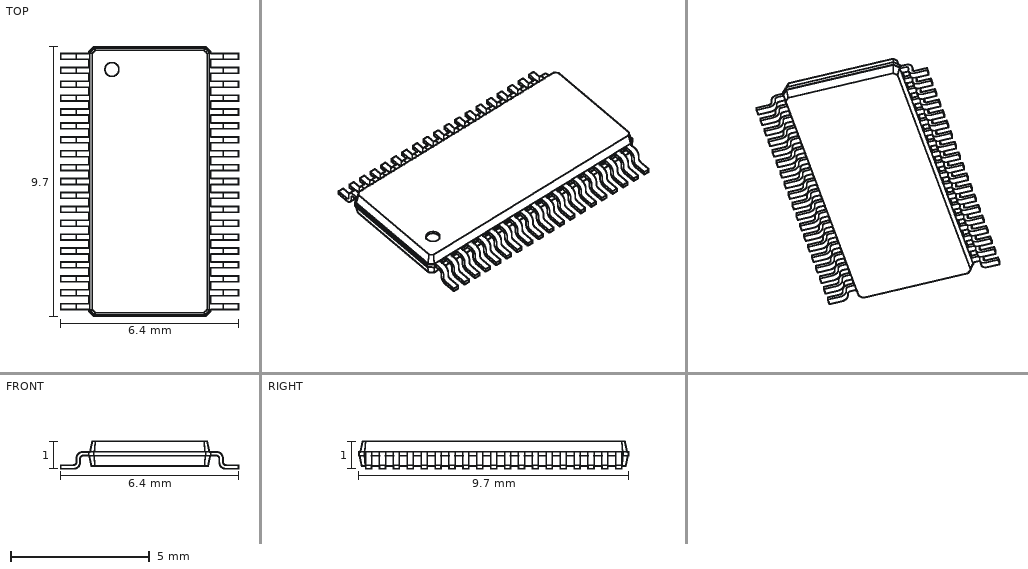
import cadquery as cq
import math

overall_width = 6.4
body_width = 4.4
body_length = 9.7
overall_height = 1.0
standoff = 0.1
corner_chamfer = 0.19

leads_per_side = 19
lead_pitch = 0.5
lead_width = 0.22
lead_thickness = 0.14
lead_top = 0.615
inner_bend = 0.1
outer_bend = inner_bend + lead_thickness
foot_flat = 0.46
lead_embed = 0.3

band_top = lead_top
band_bottom = lead_top - lead_thickness
upper_step = 0.05
lower_step = 0.02
draft_angle = 12.0

mark_diameter = 0.5
mark_depth = 0.1
mark_x = -1.36
mark_y = 4.03


def body_slab(base_z, height, inset, draft):
    """Chamfered rectangle set in from the band on all sides, extruded with draft."""
    chamfer = corner_chamfer - inset * (2 - math.sqrt(2))
    outline = (
        cq.Sketch()
        .rect(body_width - 2 * inset, body_length - 2 * inset)
        .vertices()
        .chamfer(chamfer)
    )
    return cq.Workplane("XY", origin=(0, 0, base_z)).placeSketch(outline).extrude(height, taper=draft)


def make_body():
    band = body_slab(band_bottom, lead_thickness, 0, 0)
    upper = body_slab(band_top, overall_height - band_top, upper_step, draft_angle)
    lower = body_slab(band_bottom, standoff - band_bottom, lower_step, draft_angle)
    return band.union(upper).union(lower)


def cut_pin_one_mark(body):
    mark = (
        cq.Workplane("XY", origin=(mark_x, mark_y, overall_height - mark_depth))
        .circle(mark_diameter / 2)
        .extrude(mark_depth)
    )
    return body.cut(mark)


def make_left_lead(y):
    """One S-shaped lead on the -X side, centred at the given Y."""
    toe_x = -overall_width / 2
    bend_start_x = toe_x + foot_flat
    riser_outer_x = bend_start_x + inner_bend
    riser_inner_x = riser_outer_x + lead_thickness
    shoulder_x = riser_outer_x + outer_bend
    root_x = -body_width / 2 + lead_embed
    lower_bend_top = lead_thickness + inner_bend
    upper_bend_bottom = lead_top - outer_bend
    diagonal = math.sqrt(0.5)
    outer_offset = outer_bend * diagonal
    inner_offset = inner_bend * diagonal
    profile = (
        cq.Workplane("XZ", origin=(0, y + lead_width / 2, 0))
        .moveTo(toe_x, 0)
        .lineTo(bend_start_x, 0)
        .threePointArc(
            (bend_start_x + outer_offset, lower_bend_top - outer_offset),
            (riser_inner_x, lower_bend_top),
        )
        .lineTo(riser_inner_x, upper_bend_bottom)
        .threePointArc(
            (shoulder_x - inner_offset, upper_bend_bottom + inner_offset),
            (shoulder_x, lead_top - lead_thickness),
        )
        .lineTo(root_x, lead_top - lead_thickness)
        .lineTo(root_x, lead_top)
        .lineTo(shoulder_x, lead_top)
        .threePointArc(
            (shoulder_x - outer_offset, upper_bend_bottom + outer_offset),
            (riser_outer_x, upper_bend_bottom),
        )
        .lineTo(riser_outer_x, lower_bend_top)
        .threePointArc(
            (bend_start_x + inner_offset, lower_bend_top - inner_offset),
            (bend_start_x, lead_thickness),
        )
        .lineTo(toe_x, lead_thickness)
        .close()
    )
    return profile.extrude(lead_width)


result = cut_pin_one_mark(make_body())
for index in range(leads_per_side):
    lead_y = (index - (leads_per_side - 1) / 2) * lead_pitch
    left_lead = make_left_lead(lead_y)
    result = result.union(left_lead).union(left_lead.mirror("YZ"))